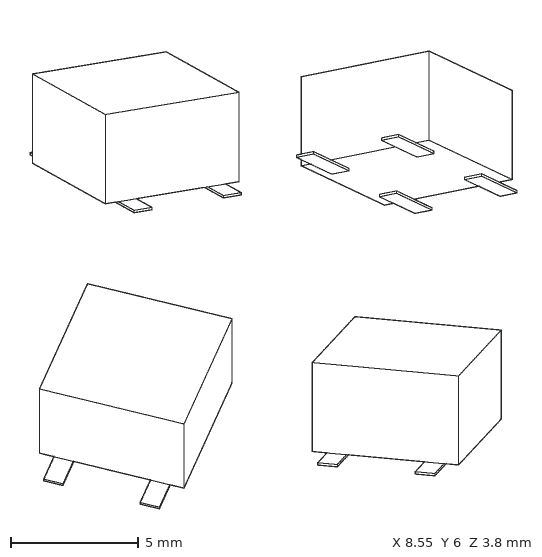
import cadquery as cq

overall_length = 8.55
overall_height = 3.8

housing_side = 6.0
lead_thickness = 0.1
housing_height = overall_height - lead_thickness

lead_length = 2.56
lead_width = 0.8
lead_pitch = 4.0
lead_center_x = (overall_length - lead_length) / 2
lead_center_y = lead_pitch / 2


def make_housing():
    """Plain block whose underside sits on top of the leads."""
    return (
        cq.Workplane("XY")
        .workplane(offset=lead_thickness)
        .rect(housing_side, housing_side)
        .extrude(housing_height)
    )


def make_lead(center_x, center_y):
    """Flat strip along X, partly under the housing, with its underside at Z = 0."""
    return (
        cq.Workplane("XY")
        .center(center_x, center_y)
        .rect(lead_length, lead_width)
        .extrude(lead_thickness)
    )


housing = make_housing()

leads = []
for x_side in (-1, 1):
    for y_side in (-1, 1):
        lead = make_lead(x_side * lead_center_x, y_side * lead_center_y)
        leads.append(lead.val())

result = cq.Compound.makeCompound([housing.val(), *leads])